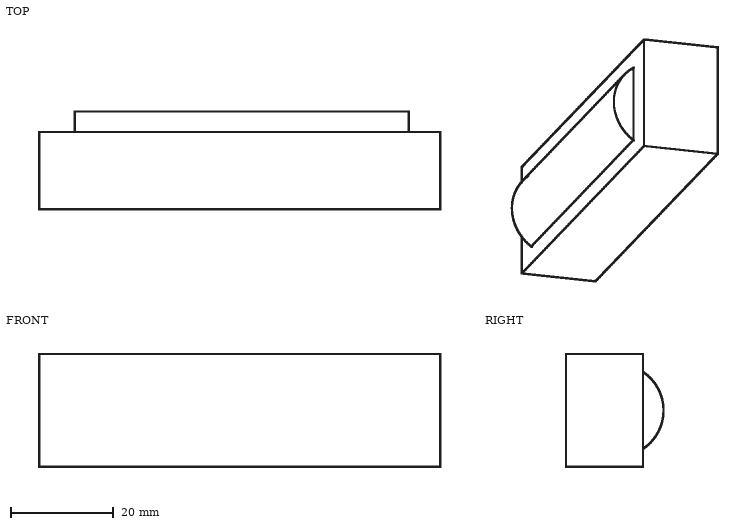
import cadquery as cq

housing_length = 78.0
housing_depth = 15.05
housing_height = 22.0

roller_diameter = 18.0
roller_start = 6.9
roller_length = 65.05
roller_protrusion = 4.0

roller_radius = roller_diameter / 2
roller_axis_y = housing_depth + roller_protrusion - roller_radius
roller_axis_z = housing_height / 2


def make_roller():
    """Full cylinder along X; it also gives the shape of its recess."""
    return (
        cq.Workplane("YZ", origin=(roller_start, roller_axis_y, roller_axis_z))
        .circle(roller_radius)
        .extrude(roller_length)
    )


def make_housing():
    """Block with a round recess, open at the back, that fits the roller."""
    block = cq.Workplane("XY").box(
        housing_length, housing_depth, housing_height, centered=False
    )
    return block.cut(make_roller())


housing = make_housing()
roller = make_roller()

result = cq.Compound.makeCompound([housing.val(), roller.val()])